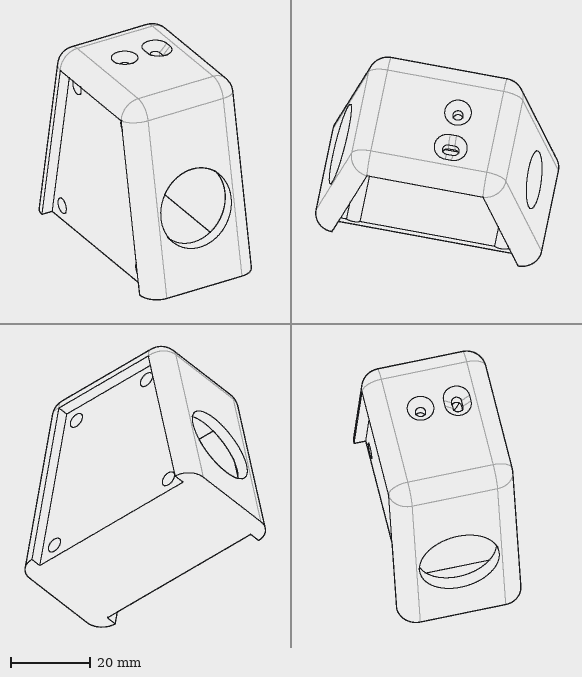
import cadquery as cq
import math

bottom_width = 57.9
top_width = 38.0
depth = 32.0
height = 51.05
edge_radius = 5.0

wall = 3.0
top_wall = 5.0
recess_depth = wall
front_y = -depth / 2
back_y = depth / 2
cavity_front_y = front_y + recess_depth + wall
back_recess_y = back_y - recess_depth

cable_hole_z = 20.95
left_hole_diameter = 14.6
right_hole_diameter = 20.6
left_boss_diameter = left_hole_diameter + 2 * wall
left_boss_end_x = -19.7

screw_diameter = 4.05
lower_screw = (19.0, 4.05)
upper_screw = (11.7, 42.0)

opening_x = -4.7
round_opening_y = -3.25
slot_opening_y = 6.25
slot_travel = 1.6
shank_diameter = 2.55
countersink_diameter = 6.7
countersink_depth = 2.1

lean = (bottom_width - top_width) / 2 / height
lean_stretch = math.hypot(1, lean)


def trapezoid_prism(inset, z_low, z_high, y_low, y_high):
    """Prism along Y whose sides lie at the given inset inside the leaning sides of the body."""
    side_inset = inset * lean_stretch
    half_low = bottom_width / 2 - lean * z_low - side_inset
    half_high = bottom_width / 2 - lean * z_high - side_inset
    outline = [(-half_low, z_low), (half_low, z_low), (half_high, z_high), (-half_high, z_high)]
    return cq.Workplane("XZ", origin=(0, y_low, 0)).polyline(outline).close().extrude(y_low - y_high)


def rod_along_x(diameter, x_start, x_end):
    """Round rod on the axis of the cable holes."""
    axis_start = cq.Workplane("YZ", origin=(x_start, 0, cable_hole_z))
    return axis_start.circle(diameter / 2).extrude(x_end - x_start)


def screw_holes():
    """Four holes along Y through the whole depth."""
    centres = [(side * x, z) for x, z in (lower_screw, upper_screw) for side in (-1, 1)]
    plane = cq.Workplane("XZ", origin=(0, front_y, 0))
    return plane.pushPoints(centres).circle(screw_diameter / 2).extrude(-depth)


def countersunk_opening(y, travel):
    """Cutter for a countersunk hole in the top, stretched along X by the travel."""

    def profile(diameter):
        plane = cq.Workplane("XY", origin=(opening_x, y, height))
        if travel > 0:
            return plane.slot2D(diameter + travel, diameter)
        return plane.circle(diameter / 2)

    flare = (countersink_diameter - shank_diameter) / 2
    taper = math.degrees(math.atan2(flare, countersink_depth))
    countersink = profile(countersink_diameter).extrude(-countersink_depth, taper=taper)
    shank = profile(shank_diameter).extrude(-top_wall)
    return countersink.union(shank)


body = trapezoid_prism(0, 0, height, front_y, back_y)
body = body.edges("not <Z").fillet(edge_radius)

recess_top = height - edge_radius
front_recess = trapezoid_prism(edge_radius, 0, recess_top, front_y, front_y + recess_depth)
back_recess = trapezoid_prism(edge_radius, 0, recess_top, back_recess_y, back_y)
body = body.cut(front_recess).cut(back_recess)

cavity = trapezoid_prism(wall, wall, height - top_wall, cavity_front_y, back_recess_y)
body = body.cut(cavity)

boss = rod_along_x(left_boss_diameter, -bottom_width / 2, left_boss_end_x).intersect(cavity)
body = body.union(boss)

body = body.cut(rod_along_x(left_hole_diameter, -bottom_width / 2, 0))
body = body.cut(rod_along_x(right_hole_diameter, 0, bottom_width / 2))
body = body.cut(screw_holes())
body = body.cut(countersunk_opening(round_opening_y, 0))
body = body.cut(countersunk_opening(slot_opening_y, slot_travel))

result = body